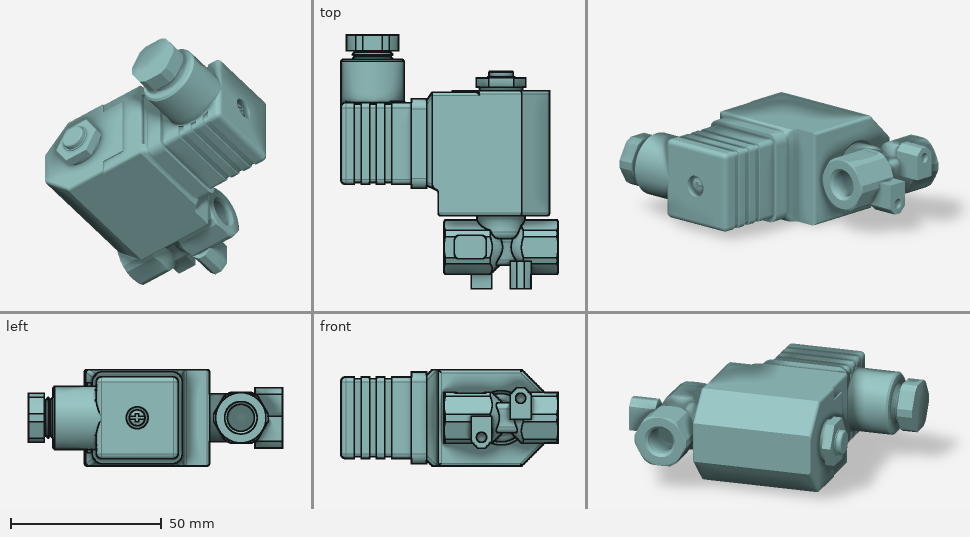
import cadquery as cq
import math


valve_length = 37.9
hex_flat = 8.4
hex_corner = 9.0
end_chamfer_radius = 8.35
end_chamfer_angle = math.radians(30)
left_cone_apex = 5.5
right_cone_apex = -1.7
core_half_width = 5.0
core_bottom = -6.1
core_top = 3.8
core_round = 1.9
port_radius = 4.5
port_depth = 11.8
port_mouth_radius = 5.4
neck_radius = 8.0
neck_bottom = 2.9
neck_round = 2.2
label_length, label_width, label_depth = 10.5, 7.9, 0.25
label_x = -10.2
label_round = 1.7

lug_width = 6.9
lug_chamfer = 2.2
lug_inner_z = -0.5
lug_outer_z = 10.0
lug_front = -13.8
lug_back = -4.6
lug_x = 6.5
lug_hole_z = 6.5
lug_hole_radius = 1.7
lug_hole_depth = 4.2
drill_slope = math.radians(31)

coil_half_depth = 16.0
coil_front = 10.4
coil_back = 51.9
coil_right = 16.1
coil_left = -20.9
coil_corner_cut = 9.3
coil_round = 1.0
step_x, step_depth = -8.0, 0.5
pad_left = -16.2
pad_half_depth = 11.55
plug_face_x = -24.7
flare_back_x = -22.85
flare_side = 1.85
plug_face_front, plug_face_back = 20.4, 48.7
flare_front = 18.7
flare_round = 1.7
notch_x, notch_front = -23.2, 49.6
countersink_radius = 9.0
countersink_depth = 0.85

rod_radius = 4.05
rod_end = 58.3
rod_chamfer = 0.3
collar_radius = 7.2
collar_height = 1.2
coil_nut_corner = 8.3
coil_nut_top = 56.15
coil_nut_lip_radius, coil_nut_lip_height = 4.5, 0.3

plug_y = 34.4
gasket_length, gasket_depth = 29.85, 30.5
gasket_left = -29.8
gasket_round = 3.4
plug_left = -53.2
plug_size = 27.15
plug_round = 1.7
groove_count = 3
groove_first, groove_pitch = -48.6, 5.1
groove_width, groove_depth = 2.2, 0.6
gland_radius = 10.5
gland_top = 62.4
gland_chamfer = 0.7
gland_base_round = 0.4
gland_x = plug_left + gland_radius
recess_radius = 3.6
recess_depth = 2.1

screw_radius = 2.6
screw_rim = 0.7
screw_dome = 0.8
shank_radius = 1.5
slot_width = 0.9
cross_length, cross_width = 2.5, 1.2
slot_depth = 0.7

nut_flat, nut_corner = 8.2, 8.7
nut_bottom, nut_top = 65.2, 70.5
thread_root, thread_crest = 6.1, 6.75
thread_pitch = 1.5
thread_count = 2
thread_root_width = 0.3


def span(x0, x1, y0, y1, z0, z1):
    """Box between the given limits."""
    return cq.Workplane("XY").box(x1 - x0, y1 - y0, z1 - z0, centered=False).translate((x0, y0, z0))


def blunt_hexagon(plane, flat, corner, height):
    """Hexagonal prism whose corners are cut flat at a distance `corner` from its axis."""
    to_diameter = 2 / math.cos(math.pi / 6)
    prism = cq.Workplane(plane).polygon(6, flat * to_diameter).extrude(height)
    cutter = cq.Workplane(plane).polygon(6, corner * to_diameter).extrude(height)
    axis = cq.Plane.named(plane).zDir
    cutter = cutter.rotate((0, 0, 0), axis.toTuple(), 30)
    return prism.intersect(cutter)


def cylinder_y(radius, y0, y1, x=0.0):
    """Cylinder along Y at the given X."""
    return cq.Workplane("XZ", origin=(x, y0, 0)).circle(radius).extrude(y0 - y1)


def turned_port(end_x, apex_x):
    """Turned shape that bounds a port: chamfered at its end, a 45 degree cone towards its apex."""
    inward = 1 if apex_x > end_x else -1
    reach = hex_corner + 1.7
    chamfer_end = end_x + inward * (reach - end_chamfer_radius) * math.tan(end_chamfer_angle)
    profile = [
        (end_x, 0),
        (end_x, end_chamfer_radius),
        (chamfer_end, reach),
        (apex_x - inward * reach, reach),
        (apex_x, 0),
    ]
    return cq.Workplane("XY").polyline(profile).close().revolve(360, (0, 0, 0), (1, 0, 0))


def port_bore(side):
    """Blind bore with a 45 degree mouth, at the left (side -1) or right (side 1) end."""
    end_x = valve_length / 2
    mouth = port_mouth_radius - port_radius
    profile = [
        (end_x, 0),
        (end_x, port_mouth_radius),
        (end_x - mouth, port_radius),
        (end_x - port_depth, port_radius),
        (end_x - port_depth, 0),
    ]
    profile = [(side * x, r) for x, r in profile]
    return cq.Workplane("XY").polyline(profile).close().revolve(360, (0, 0, 0), (1, 0, 0))


def make_lug():
    """Right lug, pointing up, with a blind drilled hole in its front."""
    half = lug_width / 2
    shoulder = lug_outer_z - lug_chamfer
    outline = [
        (-half, lug_inner_z),
        (half, lug_inner_z),
        (half, shoulder),
        (half - lug_chamfer, lug_outer_z),
        (lug_chamfer - half, lug_outer_z),
        (-half, shoulder),
    ]
    lug = cq.Workplane("XZ", origin=(0, lug_back, 0)).polyline(outline).close().extrude(lug_back - lug_front)
    tip = lug_front + lug_hole_depth
    cone = lug_hole_radius * math.tan(drill_slope)
    drill = [(0, lug_front), (lug_hole_radius, lug_front), (lug_hole_radius, tip), (0, tip + cone)]
    hole = cq.Workplane("XY").polyline(drill).close().revolve(360, (0, 0, 0), (0, 1, 0))
    return lug.cut(hole.translate((0, 0, lug_hole_z))).translate((lug_x, 0, 0))


def make_valve_body():
    half = valve_length / 2
    bar = blunt_hexagon("YZ", hex_flat, hex_corner, valve_length).translate((-half, 0, 0))
    core = span(-half / 2, half / 2, core_bottom, core_top, -core_half_width, core_half_width)
    core = core.edges("|X").fillet(core_round)
    neck = cylinder_y(neck_radius, neck_bottom, coil_front + countersink_depth)
    neck = neck.faces("<Y").edges().fillet(neck_round)
    body = core.union(neck)
    body = body.union(bar.intersect(turned_port(-half, left_cone_apex)))
    body = body.union(bar.intersect(turned_port(half, right_cone_apex)))
    right_lug = make_lug()
    body = body.union(right_lug).union(right_lug.rotate((0, 0, 0), (0, 1, 0), 180))
    for side in (-1, 1):
        body = body.cut(port_bore(side))
    label = cq.Workplane("XY", origin=(label_x, 0, hex_flat - label_depth))
    label = label.rect(label_length, label_width).extrude(label_depth).edges("|Z").fillet(label_round)
    return body.cut(label)


def coil_edges(coil, x0, x1, y0, y1):
    """Edges of the coil whose centres lie within the given limits or on them."""
    depth = 2 * coil_half_depth
    margin = 0.01
    low = (x0 - margin, y0 - margin, -depth)
    high = (x1 + margin, y1 + margin, depth)
    return coil.edges(cq.selectors.BoxSelector(low, high))


def make_coil():
    flat_right_z = coil_half_depth - coil_corner_cut
    corner_x = coil_right - coil_corner_cut
    plan = [
        (coil_left, coil_front),
        (coil_right, coil_front),
        (coil_right, coil_back),
        (step_x, coil_back),
        (step_x, coil_back - step_depth),
        (flare_back_x, coil_back - step_depth),
        (plug_face_x, plug_face_back),
        (plug_face_x, plug_face_front),
        (coil_left, flare_front),
    ]
    coil = cq.Workplane("XY").polyline(plan).close().extrude(coil_half_depth, both=True)
    upper = [
        (plug_face_x, coil_half_depth - flare_side),
        (plug_face_x + flare_side, coil_half_depth),
        (corner_x, coil_half_depth),
        (coil_right, flat_right_z),
    ]
    section = upper + [(x, -z) for x, z in reversed(upper)]
    coil = coil.intersect(cq.Workplane("XZ").polyline(section).close().extrude(-2 * coil_back))
    coil = coil.edges("not(#X or #Y or #Z)").fillet(flare_round)
    coil = coil.faces("<Y").edges().fillet(coil_round)
    inner_corner = coil_edges(coil, coil_left, coil_left, flare_front, flare_front)
    coil = inner_corner.fillet(coil_round)
    back_rim = coil_edges(coil, coil_left, coil_right, coil_back - step_depth, coil_back)
    coil = back_rim.edges("not |Z").fillet(coil_round)
    pad = span(pad_left, step_x, coil_back - step_depth, coil_back, -pad_half_depth, pad_half_depth)
    coil = coil.union(pad)
    coil = coil.cut(span(plug_face_x, notch_x, notch_front, coil_back, -pad_half_depth, pad_half_depth))
    neck_top = coil_front + countersink_depth
    neck_hole = cylinder_y(neck_radius, coil_front, neck_top)
    taper = [(0, coil_front), (countersink_radius, coil_front), (neck_radius, neck_top), (0, neck_top)]
    countersink = cq.Workplane("XY").polyline(taper).close().revolve(360, (0, 0, 0), (0, 1, 0))
    return coil.cut(neck_hole).cut(countersink).cut(cylinder_y(rod_radius, coil_front, coil_back))


def make_rod():
    rod = cylinder_y(rod_radius, coil_front + countersink_depth, rod_end)
    return rod.faces(">Y").edges().chamfer(rod_chamfer)


def make_coil_nut():
    collar = cylinder_y(collar_radius, coil_back, coil_back + collar_height)
    nut_start = coil_back + collar_height
    nut = cq.Workplane("XZ", origin=(0, nut_start, 0)).polygon(6, 2 * coil_nut_corner)
    nut = nut.extrude(nut_start - coil_nut_top)
    lip_end = coil_nut_top + coil_nut_lip_height
    lip = cylinder_y(coil_nut_lip_radius, coil_nut_top, lip_end)
    return nut.union(collar).union(lip).cut(cylinder_y(rod_radius, coil_back, lip_end))


def make_gasket():
    half_y, half_z = gasket_length / 2, gasket_depth / 2
    gasket = span(gasket_left, plug_face_x, plug_y - half_y, plug_y + half_y, -half_z, half_z)
    return gasket.edges("|X").fillet(gasket_round)


def make_gland_foot(plug_top):
    """Concave flare where the gland cylinder meets the flat of the plug."""
    outer = gland_radius + gland_base_round
    foot_top = plug_top + gland_base_round
    reach = gland_base_round * math.sqrt(0.5)
    profile = (
        cq.Workplane("XY")
        .moveTo(0, plug_top)
        .lineTo(outer, plug_top)
        .threePointArc((outer - reach, foot_top - reach), (gland_radius, foot_top))
        .lineTo(0, foot_top)
        .close()
    )
    foot = profile.revolve(360, (0, 0, 0), (0, 1, 0)).translate((gland_x, 0, 0))
    flat_left = plug_left + plug_round
    return foot.intersect(span(flat_left, gasket_left, plug_top, gland_top, -plug_size / 2, plug_size / 2))


def make_plug():
    half = plug_size / 2
    plug = span(plug_left, gasket_left, plug_y - half, plug_y + half, -half, half)
    plug = plug.edges("|X or <X").fillet(plug_round)
    plug_top = plug_y + half
    gland = cylinder_y(gland_radius, plug_top - plug_round, gland_top, gland_x)
    gland = gland.faces(">Y").edges().chamfer(gland_chamfer)
    foot = make_gland_foot(plug_top)
    under_foot = cylinder_y(gland_radius + gland_base_round, plug_top - plug_round, plug_top, gland_x)
    floor = plug_size - 2 * groove_depth
    for i in range(groove_count):
        start = cq.Workplane("YZ", origin=(groove_first + i * groove_pitch, plug_y, 0))
        ring = start.rect(2 * plug_size, 2 * plug_size).extrude(groove_width)
        inside = start.rect(floor, floor).extrude(groove_width).edges("|X").fillet(plug_round - groove_depth)
        plug = plug.cut(ring.cut(inside).cut(under_foot))
    plug = plug.union(gland).union(foot)
    start = cq.Workplane("YZ", origin=(plug_left, plug_y, 0))
    recess = start.circle(recess_radius).extrude(recess_depth)
    shank_hole = start.circle(shank_radius).extrude(gasket_left - plug_left)
    return plug.cut(recess).cut(shank_hole)


def make_screw():
    """Domed screw seated on the floor of the plug recess, with a long slot and a short cross slot."""
    seat = plug_left + recess_depth
    rim = seat - screw_rim
    top = rim - screw_dome
    chord = screw_radius / 2
    sphere_radius = (screw_radius**2 + screw_dome**2) / (2 * screw_dome)
    mid_x = top + sphere_radius - math.sqrt(sphere_radius**2 - chord**2)
    profile = (
        cq.Workplane("XY")
        .moveTo(top, 0)
        .threePointArc((mid_x, chord), (rim, screw_radius))
        .lineTo(seat, screw_radius)
        .lineTo(seat, shank_radius)
        .lineTo(gasket_left, shank_radius)
        .lineTo(gasket_left, 0)
        .close()
    )
    screw = profile.revolve(360, (0, 0, 0), (1, 0, 0))
    slots = cq.Workplane("YZ", origin=(top, 0, 0))
    screw = screw.cut(slots.rect(2 * screw_radius, slot_width).extrude(slot_depth))
    screw = screw.cut(slots.rect(cross_width, cross_length).extrude(slot_depth))
    return screw.translate((0, plug_y, 0))


def make_gland_nut():
    head = blunt_hexagon("XZ", nut_flat, nut_corner, nut_bottom - nut_top).translate((0, nut_bottom, 0))
    profile = [(0, gland_top)]
    for i in range(thread_count):
        crest = gland_top + i * thread_pitch
        profile += [(thread_crest, crest), (thread_root, crest + thread_pitch / 2)]
        profile += [(thread_root, crest + thread_pitch / 2 + thread_root_width)]
    profile += [(thread_root, nut_bottom), (0, nut_bottom)]
    thread = cq.Workplane("XY").polyline(profile).close().revolve(360, (0, 0, 0), (0, 1, 0))
    return head.union(thread).translate((gland_x, 0, 0))


valve_body = make_valve_body()
coil = make_coil()
rod = make_rod()
coil_nut = make_coil_nut()
gasket = make_gasket()
plug = make_plug()
screw = make_screw()
gland_nut = make_gland_nut()

bodies = [valve_body, coil, rod, coil_nut, gasket, plug, screw, gland_nut]
result = cq.Compound.makeCompound([body.val() for body in bodies])